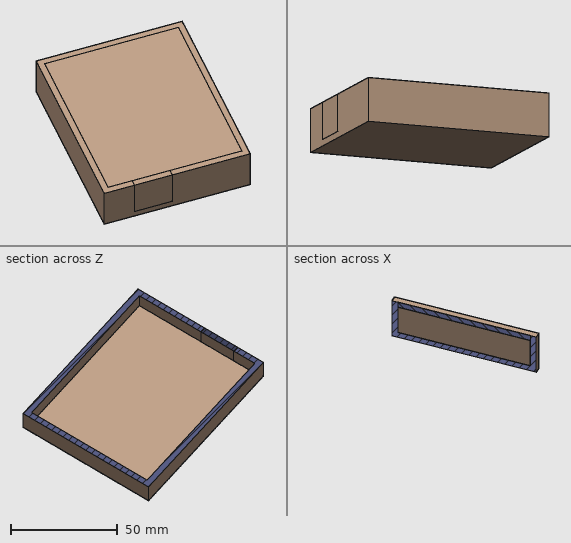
import cadquery as cq

LENGTH = 91.0
WIDTH = 73.0
HEIGHT = 21.0
WALL = 3.1

COVER_THICKNESS = WALL
COVER_LENGTH = LENGTH - 2 * WALL
COVER_WIDTH = WIDTH - 2 * WALL

INSERT_WIDTH = 18.8
INSERT_CENTER_Y = -11.9
INSERT_HEIGHT = HEIGHT - WALL


def plate(length, width, thickness, bottom, center_x=0.0, center_y=0.0):
    """Upright block standing on the level `bottom`."""
    return (
        cq.Workplane("XY", origin=(center_x, center_y, bottom))
        .box(length, width, thickness, centered=(True, True, False))
    )


def make_wall_insert():
    center_x = (LENGTH - WALL) / 2
    return plate(WALL, INSERT_WIDTH, INSERT_HEIGHT, HEIGHT - INSERT_HEIGHT, center_x, INSERT_CENTER_Y)


def make_cover():
    return plate(COVER_LENGTH, COVER_WIDTH, COVER_THICKNESS, HEIGHT - COVER_THICKNESS)


def make_housing():
    """Open-topped tray with a floor, four walls and a notch for the insert."""
    cavity = plate(COVER_LENGTH, COVER_WIDTH, HEIGHT - WALL, WALL)
    return plate(LENGTH, WIDTH, HEIGHT, 0.0).cut(cavity).cut(make_wall_insert())


housing = make_housing()
cover = make_cover()
wall_insert = make_wall_insert()

result = cq.Compound.makeCompound([housing.val(), cover.val(), wall_insert.val()])